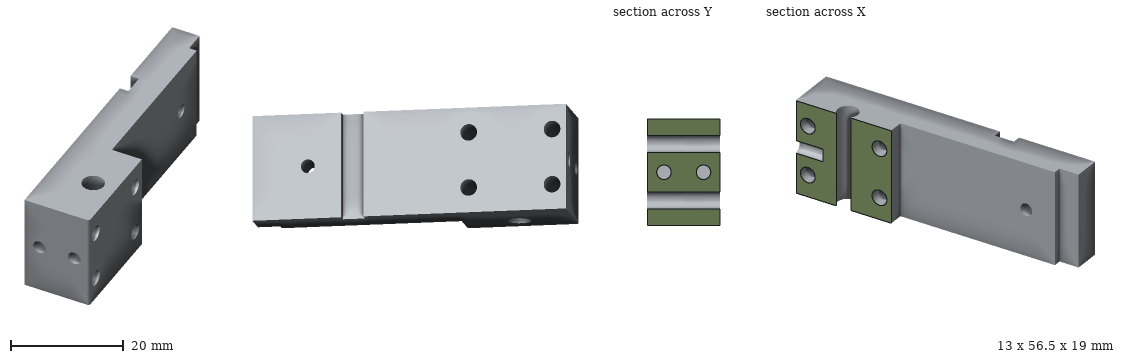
import cadquery as cq

width = 13.0
length = 56.5
height = 19.0

arm_thickness = 7.0
block_length = 20.05
tip_thickness = 5.5
tip_length = 4.0
slot_width = 4.0
slot_depth = 1.7
slot_from_tip = 16.0
corner_radius = 0.5

vertical_hole_diameter = 4.2
vertical_hole_x = 8.55
vertical_hole_y = 10.0

mount_diameter = 3.0
mount_spacing_z = 10.0
mount_rows_y = (2.5, 17.5)

tip_hole_diameter = 2.5
tip_hole_from_tip = 10.0

end_hole_diameter = 2.5
end_hole_depth = 5.65
end_hole_xs = (3.0, 10.0)

mid_z = height / 2


def hole_along_x(y, z, diameter):
    """Cylinder running across the full width of the part."""
    return cq.Workplane("YZ").center(y, z).circle(diameter / 2).extrude(width)


body = (
    cq.Workplane("XY")
    .moveTo(0, 0)
    .lineTo(width, 0)
    .lineTo(width, block_length)
    .lineTo(arm_thickness, block_length)
    .lineTo(arm_thickness, length - tip_length)
    .lineTo(tip_thickness, length - tip_length)
    .lineTo(tip_thickness, length)
    .lineTo(0, length)
    .close()
    .extrude(height)
)

body = body.edges("|Z and >X and <Y").fillet(corner_radius)

slot = cq.Workplane("XY").box(slot_depth, slot_width, height, centered=False)
body = body.cut(slot.translate((0, length - slot_from_tip - slot_width, 0)))

vertical_hole = (
    cq.Workplane("XY")
    .center(vertical_hole_x, vertical_hole_y)
    .circle(vertical_hole_diameter / 2)
    .extrude(height)
)
body = body.cut(vertical_hole)

for row_y in mount_rows_y:
    for side in (-1, 1):
        hole_z = mid_z + side * mount_spacing_z / 2
        body = body.cut(hole_along_x(row_y, hole_z, mount_diameter))

body = body.cut(hole_along_x(length - tip_hole_from_tip, mid_z, tip_hole_diameter))

for hole_x in end_hole_xs:
    end_hole = (
        cq.Workplane("XZ")
        .center(hole_x, mid_z)
        .circle(end_hole_diameter / 2)
        .extrude(-end_hole_depth)
    )
    body = body.cut(end_hole)

result = body